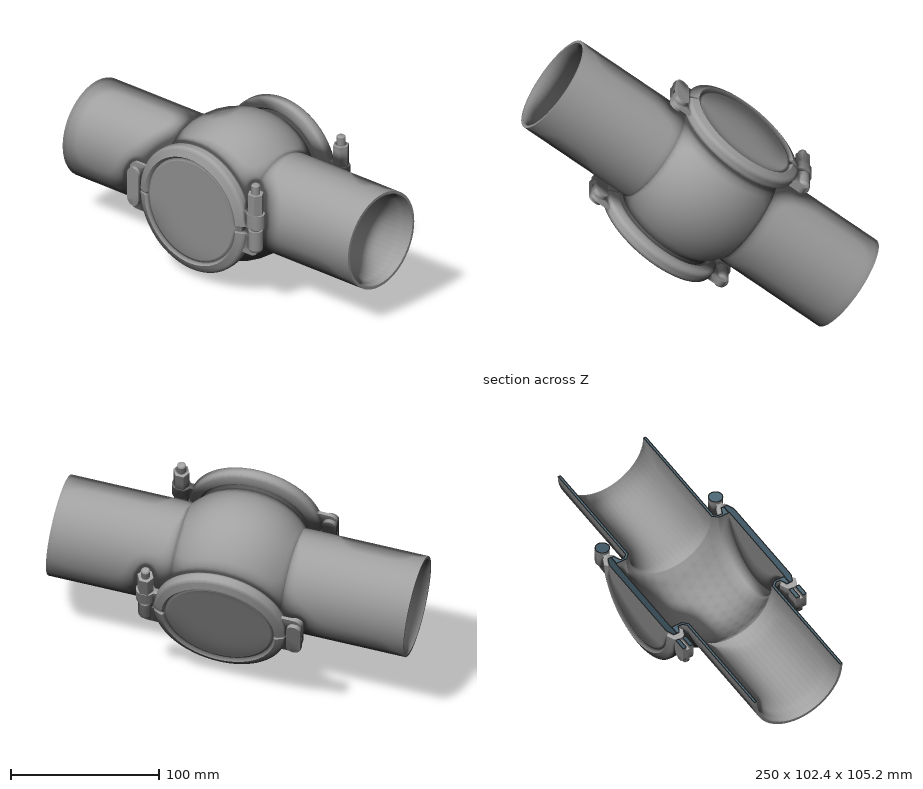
import cadquery as cq
import math

tube_length = 250.0
tube_radius = 35.0
wall = 2.0
ball_diameter = 105.2
neck_radius = 37.0

joint_y = 45.0
flange_radius = 42.0
cover_face_radius = 36.2
cover_thickness = 4.8
cone_slope = 0.42

clamp_radius = 46.2
clamp_half_width = 6.2
clamp_face_radius = 39.8
clamp_lip_radius = 38.0
clamp_round = 3.0
ring_hinge_gap = 2.2
clamp_gap = 5.2

hinge_end_x = -56.8
hinge_plate_height = 35.5
hinge_plate_thickness = 2.2
plate_corner = 5.8
hinge_pad_width = 9.8
hinge_pad_height = 28.8
hinge_pad_thickness = 8.2

bolt_x = 52.5
bolt_radius = 3.0
bolt_top = 36.5
bolt_chamfer = 0.8
nut_top = 29.5
nut_across_corners = 11.2
collar_top = 14.5
collar_bottom = 4.0
collar_length = 13.0
collar_width = 10.5
barrel_radius = 5.0
barrel_top = 1.8
barrel_bottom = -14.8
barrel_round = 2.8
lug_thickness = 4.5
lower_lug_end_x = 55.8
lower_lug_bottom = -hinge_plate_height / 2

ball_radius = ball_diameter / 2
bore_radius = tube_radius - wall
neck_bore_radius = neck_radius - wall
arm_root_radius = (flange_radius + clamp_radius) / 2


def joint_cone_offset(radius):
    """Axial distance from the joint plane to the clamped cone at a radius."""
    return cover_thickness - cone_slope * (radius - cover_face_radius)


def neck_start(sphere_radius, pipe_radius):
    """Distance from the ball centre at which a coaxial pipe leaves a sphere."""
    return math.sqrt(sphere_radius**2 - pipe_radius**2)


def cylinder_x(radius, length):
    return cq.Workplane("YZ").circle(radius).extrude(length / 2, both=True)


def cylinder_y(radius, length):
    return cq.Workplane("XZ").circle(radius).extrude(length / 2, both=True)


def revolve_about_y(profile):
    """Turn a closed profile drawn in (radius, y) about the Y axis."""
    return profile.revolve(360, (0, 0, 0), (0, 1, 0))


def box_between(x_range, y_size, z_range):
    """Block spanning two X values and two Z values, centred on y = 0."""
    x_min, x_max = x_range
    z_min, z_max = z_range
    block = cq.Workplane("XY").box(x_max - x_min, y_size, z_max - z_min)
    return block.translate(((x_min + x_max) / 2, 0, (z_min + z_max) / 2))


def make_ball_body():
    """Ball with a neck and a flange at both ends of the Y axis, solid throughout."""
    rim_y = joint_y - joint_cone_offset(flange_radius)
    root_y = joint_y - joint_cone_offset(neck_radius)
    profile = (
        cq.Workplane("XY")
        .moveTo(0, -joint_y)
        .lineTo(flange_radius, -joint_y)
        .lineTo(flange_radius, -rim_y)
        .lineTo(neck_radius, -root_y)
        .lineTo(neck_radius, -neck_start(ball_radius, neck_radius))
        .threePointArc((ball_radius, 0), (neck_radius, neck_start(ball_radius, neck_radius)))
        .lineTo(neck_radius, root_y)
        .lineTo(flange_radius, rim_y)
        .lineTo(flange_radius, joint_y)
        .lineTo(0, joint_y)
        .close()
    )
    return revolve_about_y(profile)


def make_ball_cavity():
    """Hollow of the ball, open through both necks."""
    inner_radius = ball_radius - wall
    neck_y = neck_start(inner_radius, neck_bore_radius)
    profile = (
        cq.Workplane("XY")
        .moveTo(0, -joint_y)
        .lineTo(neck_bore_radius, -joint_y)
        .lineTo(neck_bore_radius, -neck_y)
        .threePointArc((inner_radius, 0), (neck_bore_radius, neck_y))
        .lineTo(neck_bore_radius, joint_y)
        .lineTo(0, joint_y)
        .close()
    )
    return revolve_about_y(profile)


def make_housing():
    outside = make_ball_body().union(cylinder_x(tube_radius, tube_length))
    return outside.cut(make_ball_cavity()).cut(cylinder_x(bore_radius, tube_length))


def make_cover(side):
    """Tapered blank disc closing the neck on one side (+1 or -1 along Y)."""
    profile = cq.Workplane("XY").polyline([
        (0, 0),
        (flange_radius, 0),
        (flange_radius, joint_cone_offset(flange_radius)),
        (cover_face_radius, cover_thickness),
        (0, cover_thickness),
    ]).close()
    cover = revolve_about_y(profile).translate((0, joint_y, 0))
    return cover if side > 0 else cover.mirror("XZ")


def make_clamp_ring():
    """V-channel ring with rounded outer shoulders, split by a gap at the hinge and at the bolt."""
    shoulder_y = clamp_half_width - cone_slope * (clamp_radius - clamp_face_radius)
    rim_y = joint_cone_offset(flange_radius)
    lip_y = joint_cone_offset(clamp_lip_radius)
    profile = cq.Workplane("XY").polyline([
        (flange_radius, -rim_y),
        (clamp_lip_radius, -lip_y),
        (clamp_face_radius, -clamp_half_width),
        (clamp_radius, -shoulder_y),
        (clamp_radius, shoulder_y),
        (clamp_face_radius, clamp_half_width),
        (clamp_lip_radius, lip_y),
        (flange_radius, rim_y),
    ]).close()
    shoulder = cq.selectors.RadiusNthSelector(-1)
    ring = revolve_about_y(profile).edges(shoulder).fillet(clamp_round)

    ring_width = 2 * clamp_half_width
    left_gap = box_between((-clamp_radius, 0), ring_width, (-ring_hinge_gap / 2, ring_hinge_gap / 2))
    right_gap = box_between((0, clamp_radius), ring_width, (-clamp_gap / 2, clamp_gap / 2))
    return ring.cut(left_gap).cut(right_gap)


def make_hinge():
    """Slit middle plate between two rounded pads that carry both clamp halves."""
    half_height = hinge_plate_height / 2
    plate = box_between((hinge_end_x, 0), hinge_plate_thickness, (-half_height, half_height))
    plate = plate.edges("|Y and <X").fillet(plate_corner)
    slit = box_between((hinge_end_x, 0), hinge_plate_thickness, (-clamp_gap / 2, clamp_gap / 2))
    pads = (
        cq.Workplane("XZ")
        .center(hinge_end_x + hinge_pad_width / 2, 0)
        .slot2D(hinge_pad_height, hinge_pad_width, 90)
        .extrude(hinge_pad_thickness / 2, both=True)
    )
    return plate.union(pads).cut(slit)


def make_lugs():
    """Lugs that join the two ring halves to the bolt collar and the bolt barrel."""
    upper = box_between((0, bolt_x), lug_thickness, (clamp_gap / 2, collar_top))
    lower = box_between((0, lower_lug_end_x), lug_thickness, (lower_lug_bottom, -clamp_gap / 2))
    lower = lower.edges("|Y and >X and <Z").fillet(plate_corner)
    return upper, lower


def make_bolt():
    """Bolt with a long hexagon nut, an obround collar and a round barrel at its foot."""
    base = cq.Workplane("XY")
    shank = base.workplane(offset=barrel_top).circle(bolt_radius).extrude(bolt_top - barrel_top)
    shank = shank.faces(">Z").chamfer(bolt_chamfer)
    nut = base.workplane(offset=collar_top).polygon(6, nut_across_corners).extrude(nut_top - collar_top)
    collar = (
        base.workplane(offset=collar_bottom)
        .slot2D(collar_length, collar_width)
        .extrude(collar_top - collar_bottom)
    )
    barrel = base.workplane(offset=barrel_bottom).circle(barrel_radius).extrude(barrel_top - barrel_bottom)
    barrel = barrel.faces("<Z").edges().fillet(barrel_round)
    return shank.union(nut).union(collar).union(barrel).translate((bolt_x, 0, 0))


def make_clamp(side):
    """One complete clamp around the joint on one side (+1 or -1 along Y)."""
    upper_lug, lower_lug = make_lugs()
    ring_space = cylinder_y(arm_root_radius, 2 * clamp_half_width)
    arms = make_hinge().union(upper_lug).union(lower_lug).cut(ring_space)
    clamp = make_clamp_ring().union(arms).union(make_bolt())
    return clamp.translate((0, side * joint_y, 0))


housing = make_housing()
covers = [make_cover(side) for side in (-1, 1)]
clamps = [make_clamp(side) for side in (-1, 1)]

result = cq.Compound.makeCompound([
    housing.solids().val(),
    *[cover.solids().val() for cover in covers],
    *[clamp.solids().val() for clamp in clamps],
])